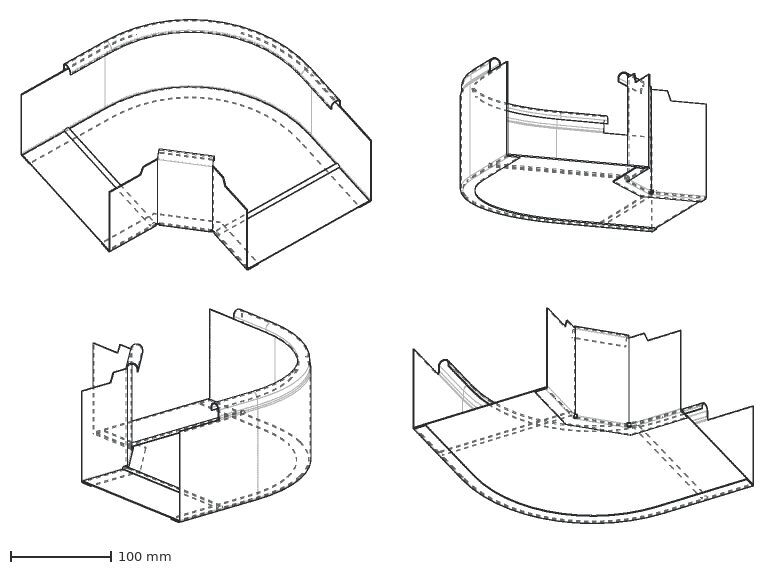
import cadquery as cq
import math

length = 251.4
height = 113.5
channel_width = 153.3
sheet = 1.3

wall_height = 97.5
bend_radius = 2.5
flange_width = 14.5
joggle_offset = 1.3
joggle_height = 3.5
curl_radius = 6.0
lip_bottom = 104.3
curl_height = height - curl_radius

end_to_arc = 102.0
end_to_curl = 51.5
arc_radius = length - end_to_arc
end_to_corner = 58.5

tab_foot = 37.7
tab_shoulder = 41.5
tab_height = curl_height

relief_radius = 2.0
relief_height = 4.3

bead_width = 5.8
bead_side = 0.8
bead_height = 2.8

half_root = math.sqrt(0.5)


def mirror_about_diagonal(shape):
    """Carry a feature of the -Y channel end over to the +X channel end."""
    plane_point = (length / 2, length / 2, 0)
    return shape.mirror(cq.Vector(1, 1, 0), plane_point)


def wall_profile(plane, top):
    """L section of a wall and its flange; local x runs inward from the outer face, local y up."""
    inner_radius = bend_radius - sheet
    outer_mid = bend_radius * (1 - half_root)
    inner_mid = bend_radius - inner_radius * half_root
    return (
        cq.Workplane(plane)
        .moveTo(flange_width, 0)
        .lineTo(bend_radius, 0)
        .threePointArc((outer_mid, outer_mid), (0, bend_radius))
        .lineTo(0, top)
        .lineTo(sheet, top)
        .lineTo(sheet, bend_radius)
        .threePointArc((inner_mid, inner_mid), (bend_radius, sheet))
        .lineTo(flange_width, sheet)
        .close()
    )


def rolled_edge(sketch, face):
    """Draw on from (face, curl_height): over the curl, down the lip, and back along the inside."""
    center = face + curl_radius
    far_face = face + 2 * curl_radius
    return (
        sketch.threePointArc((center, height), (far_face, curl_height))
        .lineTo(far_face, lip_bottom)
        .lineTo(far_face - sheet, lip_bottom)
        .lineTo(far_face - sheet, curl_height)
        .threePointArc((center, height - sheet), (face + sheet, curl_height))
    )


def joggled_edge_profile(plane):
    """Section of the outer wall's upper part: S-shaped joggle, short wall and rolled edge."""
    joggle_top = wall_height + joggle_height
    half_offset = joggle_offset / 2
    half_height = joggle_height / 2
    tilt = 2 * math.atan(half_offset / half_height)
    arc = half_height / math.sin(tilt)

    def lower_arc(radius, angle):
        return (arc - radius * math.cos(angle), wall_height + radius * math.sin(angle))

    def upper_arc(radius, angle):
        return (joggle_offset - arc + radius * math.cos(angle), joggle_top - radius * math.sin(angle))

    sketch = (
        cq.Workplane(plane)
        .moveTo(0, wall_height)
        .threePointArc(lower_arc(arc, tilt / 2), lower_arc(arc, tilt))
        .threePointArc(upper_arc(arc, tilt / 2), (joggle_offset, joggle_top))
        .lineTo(joggle_offset, curl_height)
    )
    lower_inner = arc - sheet
    upper_inner = arc + sheet
    return (
        rolled_edge(sketch, joggle_offset)
        .lineTo(joggle_offset + sheet, joggle_top)
        .threePointArc(upper_arc(upper_inner, tilt / 2), upper_arc(upper_inner, tilt))
        .threePointArc(lower_arc(lower_inner, tilt / 2), (sheet, wall_height))
        .close()
    )


def section_plane(origin, inward):
    """Vertical plane at a wall's outer face, with local x pointing inward and local y up."""
    normal = cq.Vector(*inward).cross(cq.Vector(0, 0, 1))
    return cq.Plane(origin=origin, xDir=inward, normal=normal)


def make_outer_rail():
    inward = (1, 0, 0)
    end_wall = wall_profile(section_plane((0, 0, 0), inward), wall_height).extrude(-end_to_arc)
    edge_plane = section_plane((0, end_to_curl, 0), inward)
    end_edge = joggled_edge_profile(edge_plane).extrude(end_to_curl - end_to_arc)
    straight = end_wall.union(end_edge).val()

    arc_plane = section_plane((0, end_to_arc, 0), inward)
    axis = ((arc_radius, 0), (arc_radius, -1))
    curved_wall = wall_profile(arc_plane, wall_height).revolve(90, *axis)
    curved_edge = joggled_edge_profile(arc_plane).revolve(90, *axis)
    return (
        curved_wall.union(curved_edge)
        .union(cq.Workplane(straight))
        .union(cq.Workplane(mirror_about_diagonal(straight)))
    )


def make_inner_rail():
    corner = (channel_width, end_to_corner)
    far_corner = (length - end_to_corner, length - channel_width)
    path = cq.Workplane("XY").polyline(
        [(channel_width, 0), corner, far_corner, (length, length - channel_width)]
    )
    end_plane = section_plane((channel_width, 0, 0), (-1, 0, 0))
    rail = wall_profile(end_plane, tab_height).sweep(path, transition="right")

    end_step = (
        cq.Workplane("YZ", origin=(channel_width - flange_width, 0, 0))
        .polyline([
            (0, wall_height),
            (tab_foot, wall_height),
            (tab_shoulder, tab_height),
            (0, tab_height),
        ])
        .close()
        .extrude(2 * flange_width)
        .val()
    )
    relief = cq.Workplane("XY", origin=(*corner, 0)).circle(relief_radius).extrude(relief_height).val()
    for cutter in (end_step, relief):
        rail = rail.cut(cq.Workplane(cutter)).cut(cq.Workplane(mirror_about_diagonal(cutter)))

    panel_length = math.dist(corner, far_corner)
    inward = (-1, 1, 0)
    sketch = cq.Workplane(section_plane((*corner, 0), inward)).moveTo(0, lip_bottom).lineTo(0, curl_height)
    curl = rolled_edge(sketch, 0).lineTo(sheet, lip_bottom).close().extrude(panel_length)
    return rail.union(curl)


def make_floor():
    """Floor plate resting on the flanges, its edges on the tangent lines of the bends."""
    edge = bend_radius
    inner_edge = channel_width - edge
    corner = end_to_corner + edge * math.tan(math.radians(22.5))
    arc_mid = arc_radius - (arc_radius - edge) * half_root
    plate = (
        cq.Workplane("XY", origin=(0, 0, sheet))
        .moveTo(edge, 0)
        .lineTo(inner_edge, 0)
        .lineTo(inner_edge, corner)
        .lineTo(length - corner, length - inner_edge)
        .lineTo(length, length - inner_edge)
        .lineTo(length, length - edge)
        .lineTo(arc_radius, length - edge)
        .threePointArc((arc_mid, length - arc_mid), (edge, end_to_arc))
        .close()
        .extrude(sheet)
    )
    bead = (
        cq.Workplane("YZ", origin=(edge, end_to_curl, 2 * sheet))
        .moveTo(0, 0)
        .lineTo(0, bead_side)
        .threePointArc((bead_width / 2, bead_height), (bead_width, bead_side))
        .lineTo(bead_width, 0)
        .close()
        .extrude(inner_edge - edge)
        .val()
    )
    return plate.union(cq.Workplane(bead)).union(cq.Workplane(mirror_about_diagonal(bead)))


outer_rail = make_outer_rail()
inner_rail = make_inner_rail()
floor = make_floor()

result = cq.Compound.makeCompound([outer_rail.val(), inner_rail.val(), floor.val()])